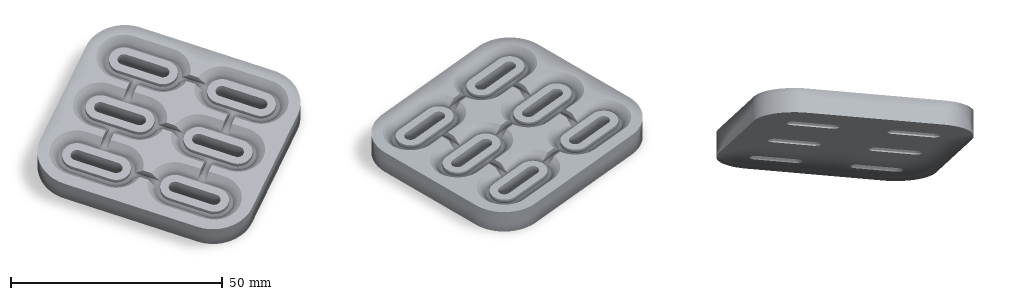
import cadquery as cq

plate_length = 54.0
plate_width = 49.0
plate_height = 6.0
corner_radius = 10.0

columns = 2
rows = 3
column_pitch = 25.0
row_pitch = 15.0

straight_length = 10.0
dish_top_width = 13.0
dish_floor_width = 9.0
rim_width = 7.0
slot_width = 3.0
dish_depth = 2.0
rim_height = 1.0

groove_width = 2.0

top_z = plate_height
floor_z = top_z - dish_depth


def obround(workplane, width):
    """Draw an obround along X with the common straight length."""
    return workplane.slot2D(straight_length + width, width)


def column_x(column):
    return (column - (columns - 1) / 2) * column_pitch


def row_y(row):
    return (row - (rows - 1) / 2) * row_pitch


def make_plate():
    plate = cq.Workplane("XY").box(plate_length, plate_width, plate_height, centered=(True, True, False))
    return plate.edges("|Z").fillet(corner_radius)


def make_dish():
    """Sloped-wall recess, widening from its floor up to the plate top."""
    floor = obround(cq.Workplane("XY").workplane(offset=floor_z), dish_floor_width)
    return obround(floor.workplane(offset=dish_depth), dish_top_width).loft(ruled=True)


def make_rim():
    return obround(cq.Workplane("XY").workplane(offset=floor_z), rim_width).extrude(rim_height)


def make_slot():
    return obround(cq.Workplane("XY"), slot_width).extrude(plate_height)


def make_groove(length_x, length_y, x, y):
    groove = cq.Workplane("XY").box(length_x, length_y, dish_depth, centered=(True, True, False))
    return groove.translate((x, y, floor_z))


dish_centers = [(column_x(c), row_y(r), 0) for c in range(columns) for r in range(rows)]

groove_length_x = column_pitch - straight_length - dish_floor_width
groove_length_y = row_pitch - dish_floor_width

result = make_plate()
for center in dish_centers:
    result = result.cut(make_dish().translate(center))

for row in range(rows):
    result = result.cut(make_groove(groove_length_x, groove_width, 0, row_y(row)))

for column in range(columns):
    for row in range(rows - 1):
        middle_y = row_y(row) + row_pitch / 2
        result = result.cut(make_groove(groove_width, groove_length_y, column_x(column), middle_y))

for center in dish_centers:
    result = result.union(make_rim().translate(center))
    result = result.cut(make_slot().translate(center))